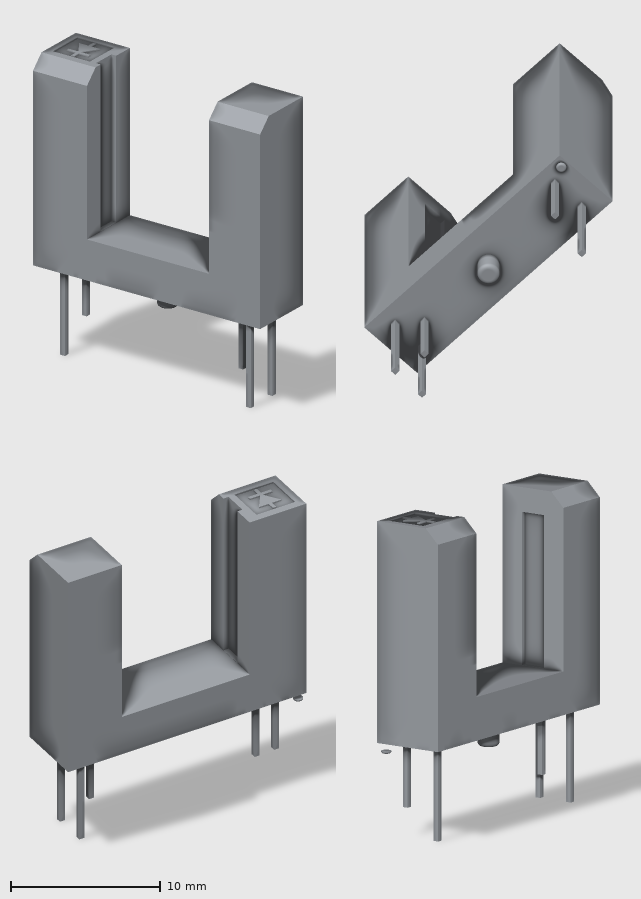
import cadquery as cq


WIDTH = 18.6
DEPTH = 5.0
HEIGHT = 15.2
GAP_LEFT = 4.43
GAP_WIDTH = 9.98
GAP_FLOOR = 3.0
TOP_CHAMFER = 1.0
MID_X = WIDTH / 2
MID_Y = DEPTH / 2
GAP_RIGHT = GAP_LEFT + GAP_WIDTH

SLOT_WIDTH = 1.8
SLOT_DEPTH = 0.4
SLOT_SILL = 0.02
RIGHT_SLOT_HEIGHT = 10.48
SLOT_FLOOR = GAP_FLOOR + SLOT_SILL

PEG_DIAMETER = 1.5
PEG_LENGTH = 1.5
PEG_FILLET = 0.3

RECESS_X = 2.05
RECESS_Y = 3.0
RECESS_LENGTH = 3.02
RECESS_WIDTH = 2.85
RECESS_DEPTH = 0.1
SYMBOL_HALF_WIDTH = 0.9
SYMBOL_LENGTH = 2.54
STROKE = 0.25
BASE_OFFSET = 0.72
BAR_OFFSET = -0.59

PIN_SIDE = 0.4
LONG_PIN = 21.7 - HEIGHT
SHORT_PIN = 4.51
PIN_INSET = 1.7
PIN_ROW_OFFSET = 1.25
MIDDLE_PIN_SHIFT = 1.52
RIGHT_PIN_X = WIDTH - PIN_INSET

DOT_RADIUS = 0.35
DOT_HEIGHT = 0.17
DOT_FILLET = 0.15
DOT_TOP = -0.52
DOT_X = DOT_RADIUS
DOT_Y = 4.5


def block(center_x, center_y, bottom, length, width, height):
    """Box centered in X and Y, standing on the given bottom level."""
    return (
        cq.Workplane("XY", origin=(center_x, center_y, bottom))
        .box(length, width, height, centered=(True, True, False))
    )


def make_frame():
    """U-shaped body with the front top edges of both arms chamfered."""
    profile = [
        (0, 0),
        (DEPTH, 0),
        (DEPTH, HEIGHT),
        (TOP_CHAMFER, HEIGHT),
        (0, HEIGHT - TOP_CHAMFER),
    ]
    body = cq.Workplane("YZ").polyline(profile).close().extrude(WIDTH)
    gap = block(GAP_LEFT + GAP_WIDTH / 2, MID_Y, GAP_FLOOR, GAP_WIDTH, DEPTH, HEIGHT - GAP_FLOOR)
    return body.cut(gap)


def make_slots():
    """The left slot runs out through the top; the right one is closed. Both start just above the gap floor."""
    left = block(GAP_LEFT - SLOT_DEPTH / 2, MID_Y, SLOT_FLOOR, SLOT_DEPTH, SLOT_WIDTH, HEIGHT - SLOT_FLOOR)
    right = block(GAP_RIGHT + SLOT_DEPTH / 2, MID_Y, SLOT_FLOOR, SLOT_DEPTH, SLOT_WIDTH, RIGHT_SLOT_HEIGHT)
    return left, right


def make_peg():
    return (
        cq.Workplane("XY", origin=(MID_X, MID_Y, 0))
        .circle(PEG_DIAMETER / 2)
        .extrude(-PEG_LENGTH)
        .faces("<Z").edges().fillet(PEG_FILLET)
    )


def make_symbol_recess():
    """Rectangular recess that leaves the diode symbol standing flush."""
    floor = HEIGHT - RECESS_DEPTH
    recess = block(RECESS_X, RECESS_Y, floor, RECESS_LENGTH, RECESS_WIDTH, RECESS_DEPTH)
    stem = block(RECESS_X, RECESS_Y, floor, STROKE, SYMBOL_LENGTH, RECESS_DEPTH)
    bar = block(RECESS_X, RECESS_Y + BAR_OFFSET, floor, 2 * SYMBOL_HALF_WIDTH, STROKE, RECESS_DEPTH)
    triangle = (
        cq.Workplane("XY", origin=(RECESS_X, RECESS_Y, floor))
        .polyline([
            (-SYMBOL_HALF_WIDTH, BASE_OFFSET),
            (0, BAR_OFFSET),
            (SYMBOL_HALF_WIDTH, BASE_OFFSET),
        ])
        .close()
        .extrude(RECESS_DEPTH)
    )
    return recess.cut(stem).cut(bar).cut(triangle)


def make_housing():
    body = make_frame().union(make_peg())
    for slot in make_slots():
        body = body.cut(slot)
    return body.cut(make_symbol_recess())


def make_pin(x, y, length):
    """Square pin hanging from the underside of the housing."""
    return block(x, y, -length, PIN_SIDE, PIN_SIDE, length)


def make_dot():
    """Thin disc, flat side up, with its lower rim rounded."""
    return (
        cq.Workplane("XY", origin=(DOT_X, DOT_Y, DOT_TOP))
        .circle(DOT_RADIUS)
        .extrude(-DOT_HEIGHT)
        .faces("<Z").edges().fillet(DOT_FILLET)
    )


PINS = [
    (PIN_INSET, MID_Y - PIN_ROW_OFFSET, LONG_PIN),
    (PIN_INSET, MID_Y + PIN_ROW_OFFSET, SHORT_PIN),
    (RIGHT_PIN_X, MID_Y - PIN_ROW_OFFSET, LONG_PIN),
    (RIGHT_PIN_X, MID_Y + PIN_ROW_OFFSET, LONG_PIN),
    (RIGHT_PIN_X - MIDDLE_PIN_SHIFT, MID_Y, SHORT_PIN),
]

housing = make_housing()
dot = make_dot()
pins = [make_pin(x, y, length) for x, y, length in PINS]

result = cq.Compound.makeCompound([housing.val(), dot.val(), *[pin.val() for pin in pins]])